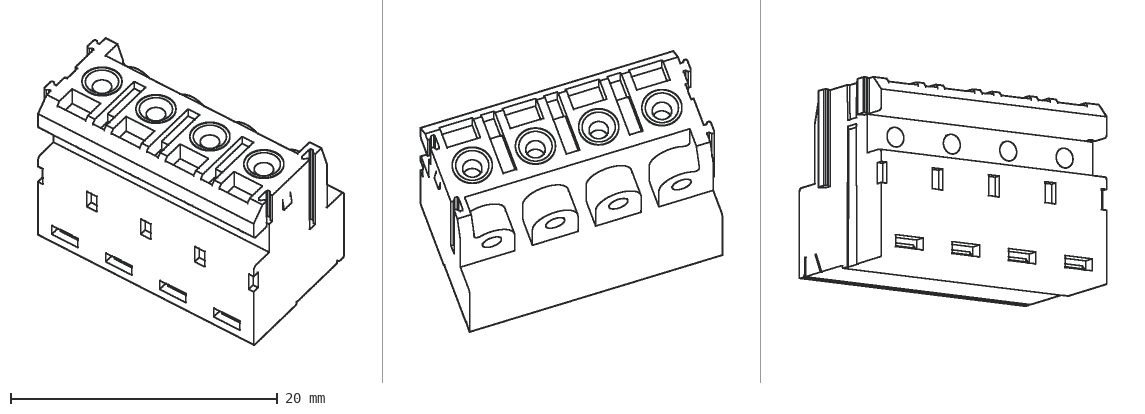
import cadquery as cq
import math

OVERALL_LENGTH = 20.73
POLES = 4
LENGTH = 20.0
PITCH = LENGTH / POLES
DEPTH = 11.5
HEIGHT = 13.9
POLE_CENTRES = [(i + 0.5) * PITCH for i in range(POLES)]
INNER_BOUNDARIES = [i * PITCH for i in range(1, POLES)]
ALL_BOUNDARIES = [i * PITCH for i in range(POLES + 1)]

FRONT_LEDGE_Z = 8.25
NOTCH_Y = 1.97
LIP_BOTTOM_Z = 11.2
LIP_CHAMFER = 1.12
TOP_BACK_Y = 8.62
TOWER_BACK_Y = 9.33
TOWER_SLOPE_Z = 11.67
BACK_LEDGE_Z = 7.11
LEDGE_FILLET = 0.35
LIP_FILLET = 0.3
BASE_FILLET = 0.15
FOOT_RISE = 0.23
FOOT_Y = 5.51
FOOT_CHAMFER = 0.1

END_WALL = 1.1
POCKET_Y = 7.1
POCKET_FOOT_FILLET = 0.27
BARREL_RADIUS = 3.6 / 2
BARREL_Z = 9.7
WALL_FILLET = 0.33
WIRE_HOLE_DIAMETER = 1.5

SCREW_Y = 4.73
SEAT_DIAMETER = 3.0
SEAT_DEPTH = 0.06
FUNNEL_DIAMETER = 2.49
SCREW_HOLE_DIAMETER = 1.45
FUNNEL_DEPTH = (FUNNEL_DIAMETER - SCREW_HOLE_DIAMETER) / 2
SCREW_HOLE_DEPTH = 1.45

WINDOW_FRONT_Y = 0.85
WINDOW_BACK_Y = 2.74
WINDOW_WIDTH = 2.63
WINDOW_DEPTH = 1.53
SLOT_WIDTH = 1.05
SLOT_BACK_Y = 6.12
SLOT_DEPTH = 0.73

KEY_WIDTH = 0.93
KEY_BOTTOM_Z = 5.65
KEY_HEIGHT = 1.6
KEY_DEPTH = 0.55
PORT_WIDTH = 2.43
PORT_BOTTOM_Z = 0.9
PORT_HEIGHT = 0.91
PORT_DEPTH = 0.93
CONTACT_WIDTH = 1.82
CONTACT_HEIGHT = 0.5
CONTACT_CHAMFER = 0.3

RAIL_DEPTH = 0.58
RAIL_HEAD_HALF = 0.52
RAIL_NECK_HALF = 0.35
GROOVE_DEPTH = 0.65
GROOVE_HEAD_HALF = 0.6
GROOVE_NECK_HALF = 0.35
NECK_LENGTH = 0.19
HEAD_THICKNESS = 0.25
HEAD_BEVEL_DEPTH = 0.06
HEAD_BEVEL_WIDTH = 0.15
BACK_RAIL_Y = 7.48
BACK_RAIL_BOTTOM_Z = 6.55
FRONT_RAIL_Y = 2.01

LATCH_Y = 4.1
LATCH_MID_WIDTH = 1.18
UPPER_LATCH_TOP_WIDTH = 1.33
UPPER_LATCH_DEPTH = 0.2
LOWER_LATCH_TOP_Z = 10.72
LOWER_LATCH_BASE_WIDTH = 1.37
LOWER_LATCH_DEPTH = 0.1
LOWER_LATCH_SLOPE_HEIGHT = 0.23
CATCH_REACH = OVERALL_LENGTH - RAIL_DEPTH - LENGTH
CATCH_WIDTH = 1.0
CATCH_Y = 4.17
CATCH_BOTTOM_Z = 11.42
CATCH_TOP_Z = 12.44

SLIT_WIDTH = 0.1
SLIT_DEPTH = 0.1
SLIT_TOP_Z = 1.72
REAR_SLIT_Y = 10.68
REAR_SLIT_CHAMFER = 0.19
SLANT_SLIT_TOP_Y = 9.22
SLANT_SLIT_BASE_Y = 8.45


def box(x0, x1, y0, y1, z0, z1):
    """Axis-aligned box between the given limits."""
    return cq.Workplane("XY").box(x1 - x0, y1 - y0, z1 - z0, centered=False).translate((x0, y0, z0))


def centred_box(x, width, y0, y1, z0, z1):
    return box(x - width / 2, x + width / 2, y0, y1, z0, z1)


def side_prism(points, x0, length):
    """Extrude a closed (y, z) outline along +X from x0."""
    return cq.Workplane("YZ", origin=(x0, 0, 0)).polyline(points).close().extrude(length)


def mirrored_ends(shape):
    """Return the shape together with its mirror image about mid-length."""
    return shape.union(shape.mirror("YZ", (LENGTH / 2, 0, 0)))


def make_body():
    outline = [
        (0, 0),
        (0, FRONT_LEDGE_Z),
        (NOTCH_Y, FRONT_LEDGE_Z),
        (NOTCH_Y, LIP_BOTTOM_Z),
        (0, LIP_BOTTOM_Z),
        (0, HEIGHT - LIP_CHAMFER),
        (LIP_CHAMFER, HEIGHT),
        (TOP_BACK_Y, HEIGHT),
        (TOWER_BACK_Y, TOWER_SLOPE_Z),
        (TOWER_BACK_Y, BACK_LEDGE_Z),
        (DEPTH, BACK_LEDGE_Z),
        (DEPTH, FOOT_RISE),
        (FOOT_Y, FOOT_RISE),
        (FOOT_Y - FOOT_CHAMFER, 0),
    ]
    body = side_prism(outline, 0, LENGTH)
    for y, z, radius in [
        (0, FRONT_LEDGE_Z, LEDGE_FILLET),
        (DEPTH, BACK_LEDGE_Z, LEDGE_FILLET),
        (0, LIP_BOTTOM_Z, LIP_FILLET),
        (0, 0, BASE_FILLET),
        (DEPTH, FOOT_RISE, BASE_FILLET),
    ]:
        body = body.edges(cq.NearestToPointSelector((LENGTH / 2, y, z))).fillet(radius)
    return body


def make_rear_pocket():
    """Pocket behind the tower, with the wire barrels left standing in it."""
    pocket = box(END_WALL, LENGTH - END_WALL, POCKET_Y, DEPTH, BACK_LEDGE_Z, HEIGHT)
    pocket = pocket.edges("|X and <Y and <Z").fillet(POCKET_FOOT_FILLET)
    barrel_length = TOWER_BACK_Y - POCKET_Y
    for x in POLE_CENTRES:
        barrel = (
            cq.Workplane("XZ", origin=(x, TOWER_BACK_Y, BARREL_Z))
            .circle(BARREL_RADIUS)
            .extrude(barrel_length)
        )
        pedestal = centred_box(x, 2 * BARREL_RADIUS, POCKET_Y, TOWER_BACK_Y, BACK_LEDGE_Z, BARREL_Z)
        pocket = pocket.cut(barrel).cut(pedestal)

    axis_x = POLE_CENTRES[0]
    fillet_x = END_WALL + WALL_FILLET
    lean = math.asin((axis_x - fillet_x) / (BARREL_RADIUS + WALL_FILLET))
    fillet_z = BARREL_Z + (BARREL_RADIUS + WALL_FILLET) * math.cos(lean)
    touch = (axis_x - BARREL_RADIUS * math.sin(lean), BARREL_Z + BARREL_RADIUS * math.cos(lean))
    mid_angle = (math.pi / 2 + lean) / 2 + math.pi / 2 - lean
    arc_mid = (fillet_x + WALL_FILLET * math.cos(mid_angle), fillet_z - WALL_FILLET * math.sin(mid_angle))
    filler = (
        cq.Workplane("XZ", origin=(0, TOWER_BACK_Y, 0))
        .moveTo(END_WALL, BACK_LEDGE_Z)
        .lineTo(END_WALL, fillet_z)
        .threePointArc(arc_mid, touch)
        .lineTo(axis_x, BARREL_Z)
        .lineTo(axis_x, BACK_LEDGE_Z)
        .close()
        .extrude(barrel_length)
    )
    return pocket.cut(mirrored_ends(filler))


def make_wire_holes():
    points = [(x, BARREL_Z) for x in POLE_CENTRES]
    return (
        cq.Workplane("XZ", origin=(0, DEPTH, 0))
        .pushPoints(points)
        .circle(WIRE_HOLE_DIAMETER / 2)
        .extrude(DEPTH)
    )


def make_screw_seat(x):
    """Shallow ring, 45 degree funnel and blind screw hole, turned about a vertical axis."""
    funnel_top = -SEAT_DEPTH
    funnel_bottom = funnel_top - FUNNEL_DEPTH
    hole_bottom = funnel_bottom - SCREW_HOLE_DEPTH
    half_section = [
        (0, 0),
        (SEAT_DIAMETER / 2, 0),
        (SEAT_DIAMETER / 2, funnel_top),
        (FUNNEL_DIAMETER / 2, funnel_top),
        (SCREW_HOLE_DIAMETER / 2, funnel_bottom),
        (SCREW_HOLE_DIAMETER / 2, hole_bottom),
        (0, hole_bottom),
    ]
    seat = cq.Workplane("XZ").polyline(half_section).close().revolve(360, (0, 0, 0), (0, 1, 0))
    return seat.translate((x, SCREW_Y, HEIGHT))


def make_window(x, width):
    return centred_box(x, width, WINDOW_FRONT_Y, WINDOW_BACK_Y, HEIGHT - WINDOW_DEPTH, HEIGHT)


def make_separating_slot(x):
    """Long shallow slot that drops to window depth at its front end."""
    shallow = centred_box(x, SLOT_WIDTH, WINDOW_BACK_Y, SLOT_BACK_Y, HEIGHT - SLOT_DEPTH, HEIGHT)
    return shallow.union(make_window(x, SLOT_WIDTH))


def make_key_recess(x):
    return centred_box(x, KEY_WIDTH, 0, KEY_DEPTH, KEY_BOTTOM_Z, KEY_BOTTOM_Z + KEY_HEIGHT)


def make_port(x):
    """Front port with a chamfered contact left standing against its back wall."""
    port = centred_box(x, PORT_WIDTH, 0, PORT_DEPTH, PORT_BOTTOM_Z, PORT_BOTTOM_Z + PORT_HEIGHT)
    contact_front = PORT_DEPTH - CONTACT_CHAMFER
    contact_top = PORT_BOTTOM_Z + CONTACT_HEIGHT
    contact = side_prism(
        [
            (contact_front, PORT_BOTTOM_Z),
            (contact_front, contact_top - CONTACT_CHAMFER),
            (PORT_DEPTH, contact_top),
            (PORT_DEPTH, PORT_BOTTOM_Z),
        ],
        x - CONTACT_WIDTH / 2,
        CONTACT_WIDTH,
    )
    return port.cut(contact)


def make_dovetail(x, y, depth, head_half, neck_half, bottom_z):
    """Vertical dovetail bar reaching from the plane at x towards -X, up to the top face."""
    shoulder = -(depth - HEAD_THICKNESS)
    half = [
        (0, neck_half),
        (-NECK_LENGTH, neck_half),
        (shoulder, head_half),
        (HEAD_BEVEL_DEPTH - depth, head_half),
        (-depth, head_half - HEAD_BEVEL_WIDTH),
    ]
    outline = half + [(px, -py) for px, py in reversed(half)]
    return cq.Workplane("XY", origin=(x, y, bottom_z)).polyline(outline).close().extrude(HEIGHT - bottom_z)


def make_tapered_recess(bottom_z, top_z, bottom_width, top_width, depth):
    """Recess in the left end whose width changes evenly with height."""
    outline = [
        (LATCH_Y - bottom_width / 2, bottom_z),
        (LATCH_Y + bottom_width / 2, bottom_z),
        (LATCH_Y + top_width / 2, top_z),
        (LATCH_Y - top_width / 2, top_z),
    ]
    return side_prism(outline, 0, depth)


def make_latch_recesses():
    upper = make_tapered_recess(
        LIP_BOTTOM_Z, HEIGHT, LATCH_MID_WIDTH, UPPER_LATCH_TOP_WIDTH, UPPER_LATCH_DEPTH
    )
    lower = make_tapered_recess(
        0, LOWER_LATCH_TOP_Z, LOWER_LATCH_BASE_WIDTH, LATCH_MID_WIDTH, LOWER_LATCH_DEPTH
    )
    slope_bottom_z = LOWER_LATCH_TOP_Z - LOWER_LATCH_SLOPE_HEIGHT
    slope = (
        cq.Workplane("XZ", origin=(0, LATCH_Y + LOWER_LATCH_BASE_WIDTH / 2, 0))
        .moveTo(0, LOWER_LATCH_TOP_Z)
        .lineTo(LOWER_LATCH_DEPTH, LOWER_LATCH_TOP_Z)
        .lineTo(LOWER_LATCH_DEPTH, slope_bottom_z)
        .close()
        .extrude(LOWER_LATCH_BASE_WIDTH)
    )
    return upper.union(lower.cut(slope))


def make_catch():
    """Wedge on the right end, square below and tapering to nothing at the top."""
    outline = [(0, CATCH_BOTTOM_Z), (CATCH_REACH, CATCH_BOTTOM_Z), (0, CATCH_TOP_Z)]
    return (
        cq.Workplane("XZ", origin=(LENGTH, CATCH_Y + CATCH_WIDTH / 2, 0))
        .polyline(outline)
        .close()
        .extrude(CATCH_WIDTH)
    )


def make_relief_slits():
    def slit(top_y, base_y):
        outline = [
            (top_y - SLIT_WIDTH / 2, SLIT_TOP_Z),
            (top_y + SLIT_WIDTH / 2, SLIT_TOP_Z),
            (base_y + SLIT_WIDTH / 2, FOOT_RISE),
            (base_y - SLIT_WIDTH / 2, FOOT_RISE),
        ]
        return side_prism(outline, 0, SLIT_DEPTH)

    nick_y = REAR_SLIT_Y - SLIT_WIDTH / 2
    nick = side_prism(
        [
            (nick_y, FOOT_RISE),
            (nick_y, FOOT_RISE + REAR_SLIT_CHAMFER),
            (REAR_SLIT_Y + SLIT_WIDTH / 2, FOOT_RISE + REAR_SLIT_CHAMFER),
            (REAR_SLIT_Y + SLIT_WIDTH / 2 + REAR_SLIT_CHAMFER, FOOT_RISE),
        ],
        0,
        LENGTH,
    )
    return nick.union(slit(REAR_SLIT_Y, REAR_SLIT_Y)).union(slit(SLANT_SLIT_TOP_Y, SLANT_SLIT_BASE_Y))


result = make_body().cut(make_rear_pocket()).cut(make_wire_holes())

for pole_x in POLE_CENTRES:
    result = result.cut(make_screw_seat(pole_x))
    result = result.cut(make_window(pole_x, WINDOW_WIDTH))
    result = result.cut(make_port(pole_x))

for boundary_x in INNER_BOUNDARIES:
    result = result.cut(make_separating_slot(boundary_x))

for boundary_x in ALL_BOUNDARIES:
    result = result.cut(make_key_recess(boundary_x))

for rail_y, rail_bottom_z in [(BACK_RAIL_Y, BACK_RAIL_BOTTOM_Z), (FRONT_RAIL_Y, LIP_BOTTOM_Z)]:
    result = result.union(make_dovetail(0, rail_y, RAIL_DEPTH, RAIL_HEAD_HALF, RAIL_NECK_HALF, rail_bottom_z))
    result = result.cut(
        make_dovetail(LENGTH, rail_y, GROOVE_DEPTH, GROOVE_HEAD_HALF, GROOVE_NECK_HALF, rail_bottom_z)
    )

result = result.cut(make_latch_recesses()).cut(make_relief_slits()).union(make_catch())